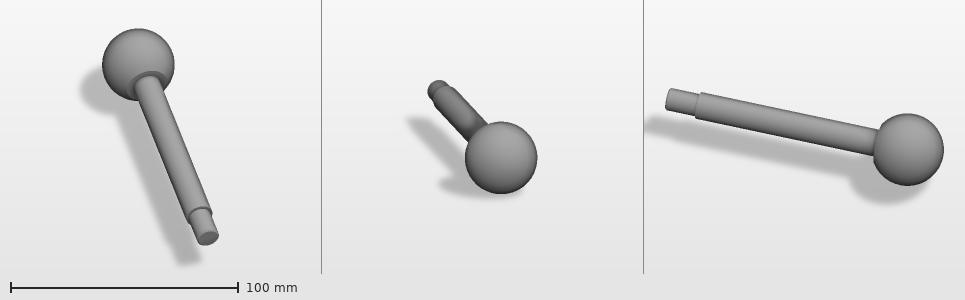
import cadquery as cq
import math

total_length = 125.0
ball_diameter = 32.0
ball_face_x = 29.1
shaft_diameter = 12.0
spigot_diameter = 10.0
spigot_length = 14.0
spigot_root_chamfer = 0.5
spigot_tip_chamfer = 0.6

ball_radius = ball_diameter / 2
shaft_radius = shaft_diameter / 2
spigot_radius = spigot_diameter / 2
shoulder_x = total_length - spigot_length

ball_face_radius = math.sqrt(ball_radius**2 - (ball_face_x - ball_radius) ** 2)

profile = (
    cq.Workplane("XZ")
    .moveTo(0, 0)
    .threePointArc((ball_radius, ball_radius), (ball_face_x, ball_face_radius))
    .lineTo(ball_face_x, shaft_radius)
    .lineTo(shoulder_x, shaft_radius)
    .lineTo(shoulder_x, spigot_radius - spigot_root_chamfer)
    .lineTo(shoulder_x + spigot_root_chamfer, spigot_radius)
    .lineTo(total_length - spigot_tip_chamfer, spigot_radius)
    .lineTo(total_length, spigot_radius - spigot_tip_chamfer)
    .lineTo(total_length, 0)
    .close()
)

result = profile.revolve(360, (0, 0, 0), (1, 0, 0))